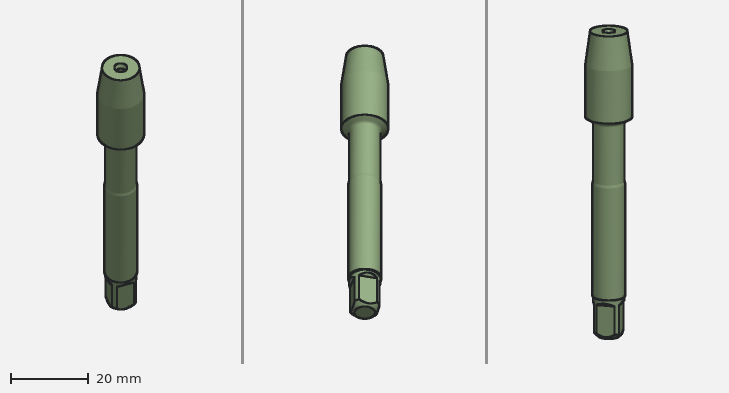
import cadquery as cq
import math

length = 82.0
head_diameter = 12.1
tip_diameter = 9.7
neck_diameter = 8.2
shank_diameter = 8.5
tang_diameter = 8.2

tang_top = 10.75
shank_top = 40.9
neck_bottom = 41.65
neck_top = 57.2
head_bottom = 58.95
taper_bottom = 73.0

back_cone_angle = math.radians(30)

square_width = 6.65
flat_height = 9.1
end_chamfer = 1.435

centre_diameter = 3.3
pilot_diameter = 2.0
pilot_depth = 3.3
countersink_half_angle = math.radians(30)
drill_point_half_angle = math.radians(59)

head_radius = head_diameter / 2
neck_radius = neck_diameter / 2
shank_radius = shank_diameter / 2
tang_radius = tang_diameter / 2


def turned_body():
    """Revolve the stepped profile from the square end up to the tapered tip."""
    cone_rise = (head_radius - neck_radius) * math.tan(back_cone_angle)
    sine = math.sin(back_cone_angle)
    cosine = math.cos(back_cone_angle)
    blend_radius = (head_bottom - neck_top - cone_rise) * cosine / (1 - sine)

    def blend_point(angle):
        x = neck_radius + blend_radius * (1 - math.cos(angle))
        z = neck_top + blend_radius * math.sin(angle)
        return x, z

    blend_sweep = math.pi / 2 - back_cone_angle
    shank_chamfer = shank_radius - tang_radius
    return (
        cq.Workplane("XZ")
        .lineTo(tang_radius - end_chamfer, 0)
        .lineTo(tang_radius, end_chamfer)
        .lineTo(tang_radius, tang_top)
        .lineTo(shank_radius, tang_top + shank_chamfer)
        .lineTo(shank_radius, shank_top)
        .lineTo(neck_radius, neck_bottom)
        .lineTo(neck_radius, neck_top)
        .threePointArc(blend_point(blend_sweep / 2), blend_point(blend_sweep))
        .lineTo(head_radius, head_bottom)
        .lineTo(head_radius, taper_bottom)
        .lineTo(tip_diameter / 2, length)
        .lineTo(0, length)
        .close()
        .revolve(360, (0, 0, 0), (0, 1, 0))
    )


def flat_cutter():
    """Material outside one flat of the square, bounded above by its 45 degree ramp."""
    flat_offset = square_width / 2
    ramp_run = shank_radius - flat_offset
    return (
        cq.Workplane("XZ")
        .moveTo(flat_offset, 0)
        .lineTo(shank_radius, 0)
        .lineTo(shank_radius, flat_height + ramp_run)
        .lineTo(flat_offset, flat_height)
        .close()
        .extrude(shank_radius, both=True)
    )


def centre_hole():
    """Countersunk centre hole going down from the tip face."""
    centre_radius = centre_diameter / 2
    pilot_radius = pilot_diameter / 2
    countersink_depth = (centre_radius - pilot_radius) / math.tan(countersink_half_angle)
    point_depth = pilot_radius / math.tan(drill_point_half_angle)
    return (
        cq.Workplane("XZ")
        .moveTo(0, length)
        .lineTo(centre_radius, length)
        .lineTo(pilot_radius, length - countersink_depth)
        .lineTo(pilot_radius, length - pilot_depth)
        .lineTo(0, length - pilot_depth - point_depth)
        .close()
        .revolve(360, (0, 0, 0), (0, 1, 0))
    )


result = turned_body()
for quarter in range(4):
    result = result.cut(flat_cutter().rotate((0, 0, 0), (0, 0, 1), 90 * quarter))
result = result.cut(centre_hole())